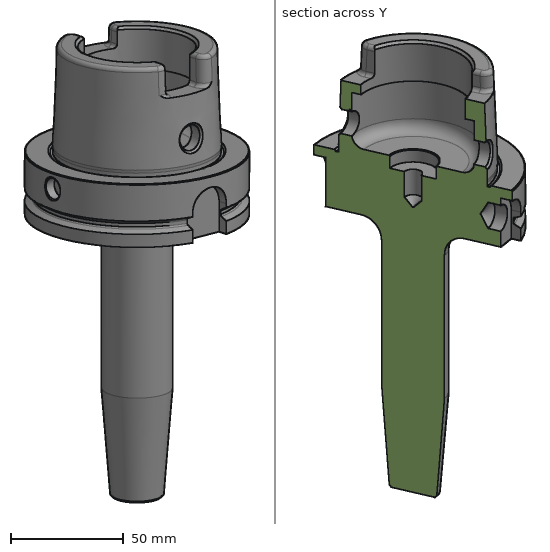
import cadquery as cq
import math


OVERALL_LENGTH = 210

SHANK_TOP = 49.5
SHANK_TOP_RADIUS = 35.7
SHANK_FOOT_RADIUS = 37.5
SHANK_FOOT = 2.7
SHANK_RIM_ROUND = 2.0
UNDERCUT_RADIUS = 37.4
UNDERCUT_TOP = 1.3
RELIEF_RADIUS = 39.5
RELIEF_DEPTH = 0.8

FLANGE_RADIUS = 50.0
FLANGE_BOTTOM = -29.4
FLANGE_CHAMFER = 0.5
GROOVE_TOP = -17.2
GROOVE_BOTTOM = -23.3
GROOVE_ROOT_RADIUS = 46.2
GROOVE_SLOPE_HEIGHT = 1.7
GROOVE_ROOT_FILLET = 0.8

STEM_RADIUS = 16.0
STEM_FILLET = 10.0
STEM_CONE_TOP = -110.0
TIP = SHANK_TOP - OVERALL_LENGTH
TIP_RADIUS = 12.0
TIP_CHAMFER = 1.0

BORE_RADIUS = 26.2
BORE_MOUTH_CHAMFER = 1.3
CHAMBER_TOP = SHANK_TOP - 19.7
CHAMBER_RADIUS = 30.6
CHAMBER_FILLET = 5.9
BORE_FLOOR = SHANK_TOP - 46.2
SOCKET_RADIUS = 11.5
SOCKET_CHAMFER = 0.5
SOCKET_DEPTH = 6.3
CENTER_HOLE_RADIUS = 4.2
CENTER_HOLE_DEPTH = 12.5
CENTER_HOLE_POINT_ANGLE = 90

DRIVE_HALF_WIDTH = 9.7
DRIVE_SHALLOW_DEPTH = 9.7
DRIVE_DEEP_DEPTH = 14.7
DRIVE_FLOOR_FILLET = 1.9
DRIVE_CORNER_ROUND = 4.2
DRIVE_REACH = 2 * SHANK_TOP_RADIUS
DRIVE_BLEND_HALF_WIDTH = DRIVE_HALF_WIDTH + DRIVE_CORNER_ROUND
DRIVE_CORNER_LIMIT_X = 32.5
DRIVE_WALL_LIMIT_Y = 7.8
SELECTION_MARGIN = 0.2

CROSS_HOLE_RADIUS = 5.9
CROSS_HOLE_CHAMFER = 1.0
CROSS_HOLE_Z = SHANK_TOP - 35.0

KEYWAY_HALF_WIDTH = 9.9
KEYWAY_CENTER_Z = -15.1
KEYWAY_FLOOR_X = 44.0
NOTCH_FLOOR_X = 31.7
NOTCH_CENTER_Y = 41.1

CHIP_HOLE_RADIUS = 6.3
CHIP_HOLE_DEPTH = 6.3
CHIP_HOLE_POINT_ANGLE = 118
SIDE_HOLE_RADIUS = 4.8
SIDE_HOLE_CHAMFER = 0.6
SIDE_HOLE_Z = -7.5
SIDE_HOLE_DEPTH = 5.5


def turned_body():
    """Solid of revolution from the shank rim down to the stem tip."""
    fillet_offset = STEM_FILLET * (1 - math.sqrt(0.5))
    tip_slope = (STEM_RADIUS - TIP_RADIUS) / (STEM_CONE_TOP - TIP)
    outline = (
        cq.Workplane("XZ")
        .moveTo(0, SHANK_TOP)
        .lineTo(SHANK_TOP_RADIUS, SHANK_TOP)
        .lineTo(SHANK_FOOT_RADIUS, SHANK_FOOT)
        .lineTo(UNDERCUT_RADIUS, UNDERCUT_TOP)
        .lineTo(UNDERCUT_RADIUS, -RELIEF_DEPTH)
        .lineTo(RELIEF_RADIUS - RELIEF_DEPTH, -RELIEF_DEPTH)
        .lineTo(RELIEF_RADIUS, 0)
        .lineTo(FLANGE_RADIUS - FLANGE_CHAMFER, 0)
        .lineTo(FLANGE_RADIUS, -FLANGE_CHAMFER)
        .lineTo(FLANGE_RADIUS, GROOVE_TOP)
        .lineTo(GROOVE_ROOT_RADIUS, GROOVE_TOP - GROOVE_SLOPE_HEIGHT)
        .lineTo(GROOVE_ROOT_RADIUS, GROOVE_BOTTOM + GROOVE_SLOPE_HEIGHT)
        .lineTo(FLANGE_RADIUS, GROOVE_BOTTOM)
        .lineTo(FLANGE_RADIUS, FLANGE_BOTTOM)
        .lineTo(STEM_RADIUS + STEM_FILLET, FLANGE_BOTTOM)
        .threePointArc(
            (STEM_RADIUS + fillet_offset, FLANGE_BOTTOM - fillet_offset),
            (STEM_RADIUS, FLANGE_BOTTOM - STEM_FILLET),
        )
        .lineTo(STEM_RADIUS, STEM_CONE_TOP)
        .lineTo(TIP_RADIUS + TIP_CHAMFER * tip_slope, TIP + TIP_CHAMFER)
        .lineTo(TIP_RADIUS - TIP_CHAMFER, TIP)
        .lineTo(0, TIP)
        .close()
    )
    blank = outline.revolve(360, (0, 0), (0, 1))

    def is_groove_root(edge):
        return edge.geomType() == "CIRCLE" and math.isclose(edge.radius(), GROOVE_ROOT_RADIUS)

    return blank.edges().filter(is_groove_root).fillet(GROOVE_ROOT_FILLET)


def drill_point_height(radius, point_angle):
    """Height of the cone left by a drill with the given point angle in degrees."""
    return radius / math.tan(math.radians(point_angle / 2))


def bore():
    """Stepped bore: mouth, wider chamber, shallow socket and drilled center hole."""
    socket_floor = BORE_FLOOR - SOCKET_DEPTH
    hole_end = socket_floor - CENTER_HOLE_DEPTH
    fillet_inset = CHAMBER_FILLET * (1 - math.sqrt(0.5))
    outline = (
        cq.Workplane("XZ")
        .moveTo(0, SHANK_TOP)
        .lineTo(BORE_RADIUS + BORE_MOUTH_CHAMFER, SHANK_TOP)
        .lineTo(BORE_RADIUS, SHANK_TOP - BORE_MOUTH_CHAMFER)
        .lineTo(BORE_RADIUS, CHAMBER_TOP)
        .lineTo(CHAMBER_RADIUS, CHAMBER_TOP)
        .lineTo(CHAMBER_RADIUS, BORE_FLOOR + CHAMBER_FILLET)
        .threePointArc(
            (CHAMBER_RADIUS - fillet_inset, BORE_FLOOR + fillet_inset),
            (CHAMBER_RADIUS - CHAMBER_FILLET, BORE_FLOOR),
        )
        .lineTo(SOCKET_RADIUS + SOCKET_CHAMFER, BORE_FLOOR)
        .lineTo(SOCKET_RADIUS, BORE_FLOOR - SOCKET_CHAMFER)
        .lineTo(SOCKET_RADIUS, socket_floor)
        .lineTo(CENTER_HOLE_RADIUS, socket_floor)
        .lineTo(CENTER_HOLE_RADIUS, hole_end)
        .lineTo(0, hole_end - drill_point_height(CENTER_HOLE_RADIUS, CENTER_HOLE_POINT_ANGLE))
        .close()
    )
    return outline.revolve(360, (0, 0), (0, 1))


def drive_slot(side, depth):
    """Slot across one wall of the shank, open at the rim."""
    block = cq.Workplane("XY").box(DRIVE_REACH, 2 * DRIVE_HALF_WIDTH, 2 * depth)
    return block.translate((side * DRIVE_REACH / 2, 0, SHANK_TOP))


def edges_near(solid, side, x_range, half_y, z_range):
    """Edges with their centers in a box on the given X side of the part."""
    x_low, x_high = sorted(side * x for x in x_range)
    low = (x_low, -half_y, z_range[0])
    high = (x_high, half_y, z_range[1])
    return solid.edges(cq.selectors.BoxSelector(low, high))


def round_drive_corners(solid, side, depth):
    """Round the upright corners where the slot breaks through the outer wall."""
    floor_z = SHANK_TOP - depth
    upright_z = (floor_z + DRIVE_FLOOR_FILLET, SHANK_TOP - DRIVE_FLOOR_FILLET)
    outer_wall_x = (BORE_RADIUS + DRIVE_CORNER_ROUND, SHANK_FOOT_RADIUS)
    corners = edges_near(solid, side, outer_wall_x, DRIVE_BLEND_HALF_WIDTH, upright_z)
    return corners.fillet(DRIVE_CORNER_ROUND)


def fillet_drive_floor(solid, side, depth):
    """Blend the slot floor into its side walls, round corners included."""
    floor_z = SHANK_TOP - depth
    floor_range = (floor_z - SELECTION_MARGIN, floor_z + SELECTION_MARGIN)
    wall_x = (BORE_RADIUS - DRIVE_FLOOR_FILLET, DRIVE_CORNER_LIMIT_X)
    floor_edges = edges_near(solid, side, wall_x, DRIVE_BLEND_HALF_WIDTH, floor_range)
    side_walls = floor_edges.filter(lambda edge: abs(edge.Center().y) > DRIVE_WALL_LIMIT_Y)
    return side_walls.fillet(DRIVE_FLOOR_FILLET)


def round_shank_rim(solid):
    """Round every edge of the top faces except the mouth of the bore."""

    def is_bore_mouth(edge):
        return edge.geomType() == "CIRCLE" and edge.radius() < SHANK_TOP_RADIUS - SHANK_RIM_ROUND

    rim = solid.faces(">Z").edges().filter(lambda edge: not is_bore_mouth(edge))
    return rim.fillet(SHANK_RIM_ROUND)


def keyway(side, floor_x, center_y):
    """Round-topped slot open at the flange edge and at its lower face."""
    length = 2 * FLANGE_RADIUS - floor_x
    straight_height = KEYWAY_CENTER_Z - FLANGE_BOTTOM
    start = cq.Workplane("YZ", origin=(floor_x, center_y, KEYWAY_CENTER_Z))
    slot = start.circle(KEYWAY_HALF_WIDTH).extrude(length)
    slot = slot.union(
        start.center(0, -straight_height / 2)
        .rect(2 * KEYWAY_HALF_WIDTH, straight_height)
        .extrude(length)
    )
    return slot if side > 0 else slot.mirror("YZ")


def cross_hole():
    """Straight hole along X through both walls of the shank."""
    return (
        cq.Workplane("YZ", origin=(-FLANGE_RADIUS, 0, CROSS_HOLE_Z))
        .circle(CROSS_HOLE_RADIUS)
        .extrude(2 * FLANGE_RADIUS)
    )


def chamfer_cross_hole(solid, side):
    """Chamfer the cross hole where it meets the outer wall on one side."""
    outer_wall_x = (SHANK_TOP_RADIUS - CROSS_HOLE_CHAMFER, SHANK_FOOT_RADIUS)
    hole_z = (CROSS_HOLE_Z - 2 * CROSS_HOLE_RADIUS, CROSS_HOLE_Z + 2 * CROSS_HOLE_RADIUS)
    mouth = edges_near(solid, side, outer_wall_x, CROSS_HOLE_RADIUS, hole_z)
    return mouth.chamfer(CROSS_HOLE_CHAMFER)


def chip_hole():
    """Drilled blind hole in the floor of the -X keyway."""
    point_height = drill_point_height(CHIP_HOLE_RADIUS, CHIP_HOLE_POINT_ANGLE)
    end_x = -KEYWAY_FLOOR_X + CHIP_HOLE_DEPTH
    outline = (
        cq.Workplane("XZ")
        .moveTo(-FLANGE_RADIUS, KEYWAY_CENTER_Z)
        .lineTo(-FLANGE_RADIUS, KEYWAY_CENTER_Z + CHIP_HOLE_RADIUS)
        .lineTo(end_x, KEYWAY_CENTER_Z + CHIP_HOLE_RADIUS)
        .lineTo(end_x + point_height, KEYWAY_CENTER_Z)
        .close()
    )
    return outline.revolve(360, (-FLANGE_RADIUS, KEYWAY_CENTER_Z), (0, KEYWAY_CENTER_Z))


def side_hole():
    """Blind hole from the -Y edge of the flange with a chamfered mouth."""
    floor_y = SIDE_HOLE_DEPTH - FLANGE_RADIUS
    mouth_y = SIDE_HOLE_CHAMFER - FLANGE_RADIUS
    outline = (
        cq.Workplane("YZ")
        .moveTo(floor_y, SIDE_HOLE_Z)
        .lineTo(floor_y, SIDE_HOLE_Z + SIDE_HOLE_RADIUS)
        .lineTo(mouth_y, SIDE_HOLE_Z + SIDE_HOLE_RADIUS)
        .lineTo(-FLANGE_RADIUS, SIDE_HOLE_Z + SIDE_HOLE_RADIUS + SIDE_HOLE_CHAMFER)
        .lineTo(-FLANGE_RADIUS, SIDE_HOLE_Z)
        .close()
    )
    return outline.revolve(360, (floor_y, SIDE_HOLE_Z), (-FLANGE_RADIUS, SIDE_HOLE_Z))


drive_slots = ((-1, DRIVE_SHALLOW_DEPTH), (1, DRIVE_DEEP_DEPTH))

body = turned_body().cut(bore())
for side, depth in drive_slots:
    body = body.cut(drive_slot(side, depth))
    body = round_drive_corners(body, side, depth)
    body = fillet_drive_floor(body, side, depth)
body = round_shank_rim(body)

body = body.cut(cross_hole())
for side in (-1, 1):
    body = chamfer_cross_hole(body, side)
    body = body.cut(keyway(side, KEYWAY_FLOOR_X, 0))

body = body.cut(keyway(-1, NOTCH_FLOOR_X, NOTCH_CENTER_Y))
body = body.cut(chip_hole())
body = body.cut(side_hole())

result = body